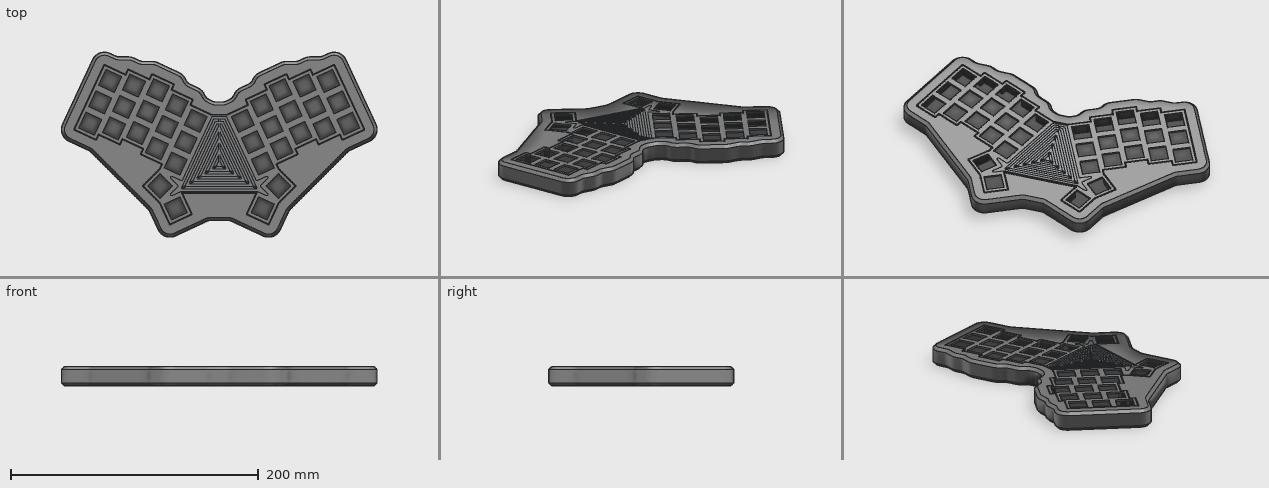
import cadquery as cq
import math

CASE_HEIGHT = 15.8
CASE_CHAMFER = 2.5
CASE_MARGIN = 10.63
CASE_CONCAVE_RADIUS = 8.0
FRONT_FLAT_Y = -50.6
FLOOR_THICKNESS = 3.0
PLATE_GAP = 0.6

KEY_PITCH = 19.05
KEY_HOLE = 14.0
COLUMN_STAGGER = KEY_PITCH / 4
COLUMNS = 5
ROWS = (-1, 0, 1)
HOME_COLUMN = 2
HAND_ANGLE = 25.0
THUMB_ANGLE = 20.0
FIELD_LEFT = -101.59
FIELD_BACK = -0.13

PLATE_THICKNESS = 1.5
PLATE_TOP = CASE_HEIGHT
INLAY_BORDER = 1.0
INLAY_DEPTH = 1.0
RING_WIDTH = 2.0
RING_COUNT = 5
BRIDGE_WIDTH = 1.0

HALF_PITCH = KEY_PITCH / 2
PLATE_BOTTOM = PLATE_TOP - PLATE_THICKNESS
INLAY_BOTTOM = PLATE_TOP - INLAY_DEPTH


def turned(x, y, angle):
    """Rotate a vector counter-clockwise."""
    a = math.radians(angle)
    return (x * math.cos(a) - y * math.sin(a), x * math.sin(a) + y * math.cos(a))


def shifted(point, vector):
    return (point[0] + vector[0], point[1] + vector[1])


def mirrored(points):
    """Right-half copy of left-half points, reversed so that an outline runs on."""
    return [(-x, y) for x, y in reversed(points)]


def crossing(p, p_angle, q, q_angle):
    """Crossing point of two lines, each given by a point and a direction."""
    px, py = turned(1, 0, p_angle)
    qx, qy = turned(1, 0, q_angle)
    along = ((q[0] - p[0]) * qy - (q[1] - p[1]) * qx) / (px * qy - py * qx)
    return (p[0] + along * px, p[1] + along * py)


def column_key(column, row):
    """Centre of a key in the tilted columns."""
    u = FIELD_LEFT + column * KEY_PITCH
    v = FIELD_BACK + row * KEY_PITCH - abs(column - HOME_COLUMN) * COLUMN_STAGGER
    return turned(u, v, -HAND_ANGLE)


def cell_corner(centre, angle, side_x, side_y):
    """Corner of a key's square cell; the sides are -1 or +1 along the cell's own axes."""
    return shifted(centre, turned(side_x * HALF_PITCH, side_y * HALF_PITCH, angle))


def back_corner(column, side):
    return cell_corner(column_key(column, ROWS[-1]), -HAND_ANGLE, side, 1)


def front_corner(column, side):
    return cell_corner(column_key(column, ROWS[0]), -HAND_ANGLE, side, -1)


LAST = COLUMNS - 1
THUMB_1_ANGLE = -HAND_ANGLE - THUMB_ANGLE
THUMB_2_ANGLE = THUMB_1_ANGLE - THUMB_ANGLE + 90
hinge_1 = front_corner(LAST, -1)
thumb_1 = shifted(hinge_1, turned(HALF_PITCH, -HALF_PITCH, THUMB_1_ANGLE))
hinge_2 = cell_corner(thumb_1, THUMB_1_ANGLE, 1, -1)
thumb_2 = shifted(hinge_2, turned(HALF_PITCH, -HALF_PITCH, THUMB_2_ANGLE))
thumb_1_left = cell_corner(thumb_1, THUMB_1_ANGLE, -1, -1)
thumb_1_right = cell_corner(thumb_1, THUMB_1_ANGLE, 1, 1)
thumb_2_front_left = cell_corner(thumb_2, THUMB_2_ANGLE, -1, -1)
thumb_2_front_right = cell_corner(thumb_2, THUMB_2_ANGLE, 1, -1)
thumb_2_back_right = cell_corner(thumb_2, THUMB_2_ANGLE, 1, 1)


def key_field():
    """Stepped outline around all key cells and the triangle between the halves."""
    back = []
    for column in reversed(range(COLUMNS)):
        back += [back_corner(column, 1), back_corner(column, -1)]
    front = []
    for column in range(LAST):
        front += [front_corner(column, -1), front_corner(column, 1)]
    thumbs = [hinge_1, thumb_1_left, hinge_2, thumb_2_front_left, thumb_2_front_right, thumb_2_back_right]
    left = back + front + thumbs
    return left + mirrored(left)


def case_field():
    """Core of the case outline: the key field with its front steps cut straight."""
    back = []
    for column in reversed(range(COLUMNS)):
        if column >= HOME_COLUMN:
            back.append(back_corner(column, 1))
        back.append(back_corner(column, -1))
        if 0 < column <= HOME_COLUMN:
            back.append(crossing(back_corner(column, -1), 0, back_corner(column - 1, 1), -HAND_ANGLE))
    front = [
        front_corner(0, -1),
        crossing(front_corner(0, -1), -HAND_ANGLE, thumb_1_left, THUMB_1_ANGLE),
        hinge_2,
        thumb_2_front_left,
        crossing(thumb_2_front_left, THUMB_2_ANGLE, (0, FRONT_FLAT_Y), 0),
    ]
    left = back + front
    return left + mirrored(left)


def wedge_field():
    """Space between the key cells, with a wedge on each side of the inner thumb key."""
    left = [back_corner(LAST, 1), front_corner(LAST, 1), hinge_1, thumb_1_right, hinge_2, thumb_2_back_right]
    return left + mirrored(left)


def ring_corners(inset):
    """Left back and left front corner of the space between the halves, moved inward."""
    column_edge = shifted(back_corner(LAST, 1), turned(inset, 0, -HAND_ANGLE))
    edge_angle = 90 - HAND_ANGLE
    back = crossing(column_edge, edge_angle, (0, back_corner(LAST, 1)[1] - inset), 0)
    front = crossing(column_edge, edge_angle, (0, thumb_2_back_right[1] + inset), 0)
    return back, front


def ring_outline(inset):
    """Trapezoid, or a triangle once the two sides meet behind the front edge."""
    back, front = ring_corners(inset)
    if back[0] < 0:
        left = [back, front]
        return left + mirrored(left)
    apex = crossing(front, 90 - HAND_ANGLE, (0, 0), 90)
    return [apex, front, (-front[0], front[1])]


def prism(points, offset, bottom, height):
    outline = cq.Workplane("XY").workplane(offset=bottom).polyline(points).close()
    if offset:
        outline = outline.offset2D(offset)
    return outline.extrude(height)


def make_case():
    outline = cq.Workplane("XY").polyline(case_field()).close()
    outline = outline.offset2D(CASE_MARGIN + CASE_CONCAVE_RADIUS).offset2D(-CASE_CONCAVE_RADIUS)
    body = outline.extrude(CASE_HEIGHT)
    body = body.faces("<Z or >Z").chamfer(CASE_CHAMFER)
    return body.cut(prism(key_field(), PLATE_GAP, FLOOR_THICKNESS, CASE_HEIGHT))


def inlay_area():
    outline = cq.Workplane("XY").workplane(offset=INLAY_BOTTOM).polyline(wedge_field()).close()
    return outline.offset2D(-2 * INLAY_BORDER).offset2D(INLAY_BORDER).extrude(INLAY_DEPTH)


def ring_step(step):
    """Solid inside the ring outline that lies a number of ring widths in from the rim."""
    return prism(ring_outline(INLAY_BORDER + step * RING_WIDTH), 0, INLAY_BOTTOM, INLAY_DEPTH)


def bridge(start, end):
    """Straight bar between two points."""
    length = math.dist(start, end)
    angle = math.degrees(math.atan2(end[1] - start[1], end[0] - start[0]))
    bar = cq.Workplane("XY").box(length, BRIDGE_WIDTH, INLAY_DEPTH, centered=(False, True, False))
    return bar.rotate((0, 0, 0), (0, 0, 1), angle).translate((start[0], start[1], INLAY_BOTTOM))


def make_inlay():
    inlay = inlay_area().cut(ring_step(1))
    for ring in range(1, RING_COUNT):
        inlay = inlay.union(ring_step(2 * ring).cut(ring_step(2 * ring + 1)))
    core = ring_outline(INLAY_BORDER + 2 * RING_COUNT * RING_WIDTH)
    inlay = inlay.union(prism(core, 0, INLAY_BOTTOM, INLAY_DEPTH))
    middle = (0, sum(y for _, y in core) / len(core))
    back, front = ring_corners(INLAY_BORDER + RING_WIDTH / 2)
    for end in ((0, back[1]), front, (-front[0], front[1])):
        inlay = inlay.union(bridge(middle, end))
    return inlay


def key_holes():
    keys = [(column_key(c, r), -HAND_ANGLE) for c in range(COLUMNS) for r in ROWS]
    keys += [(thumb_1, THUMB_1_ANGLE), (thumb_2, THUMB_2_ANGLE)]
    keys += [((-centre[0], centre[1]), -angle) for centre, angle in keys]
    holes = cq.Workplane("XY")
    for centre, angle in keys:
        hole = cq.Workplane("XY").box(KEY_HOLE, KEY_HOLE, PLATE_THICKNESS, centered=(True, True, False))
        hole = hole.rotate((0, 0, 0), (0, 0, 1), angle)
        holes.add(hole.translate((centre[0], centre[1], PLATE_BOTTOM)))
    return holes.combine()


case = make_case()
inlay = make_inlay()
plate = prism(key_field(), 0, PLATE_BOTTOM, PLATE_THICKNESS).cut(key_holes()).cut(inlay)

result = cq.Compound.makeCompound([case.val(), plate.val(), *inlay.solids().vals()])